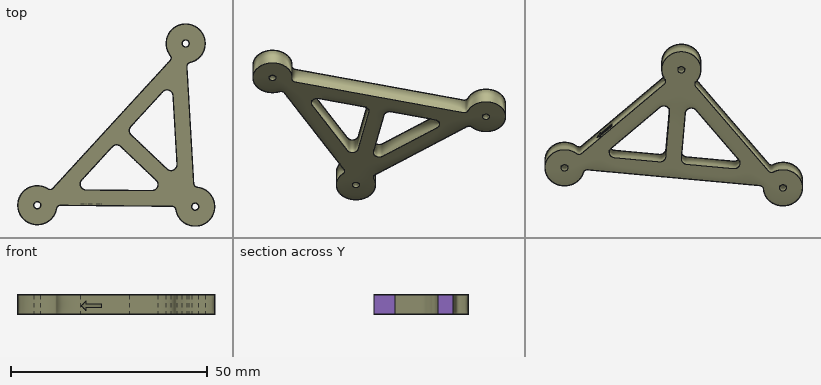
import cadquery as cq
import math

thickness = 5.0
boss_radius = 5.0
hole_diameter = 1.75

left_corner = cq.Vector(0, 0)
right_corner = cq.Vector(40.1, -0.35)
top_corner = cq.Vector(37.7, 41.1)
corners = [left_corner, right_corner, top_corner]

bar_width = 4.0
strut_width = 4.0
window_fillet = 1.5
neck_fillet = 1.0

arrow_tip_from_corner = 11.15
arrow_length = 5.1
arrow_head_length = 1.25
arrow_head_width = 2.45
arrow_shaft_width = 0.9
arrow_height = 2.15
arrow_depth = 0.4


def plate(points):
    """Full-thickness plate with a polygonal outline."""
    outline = [(p.x, p.y) for p in points]
    return cq.Workplane("XY").polyline(outline).close().extrude(thickness)


def inset_corner(corner, after, before):
    """Point inside a corner at one bar width from both of its sides."""
    to_after = (after - corner).normalized()
    to_before = (before - corner).normalized()
    half_angle = to_after.getAngle(to_before) / 2
    bisector = (to_after + to_before).normalized()
    return corner + bisector * (bar_width / math.sin(half_angle))


def strut(start, end):
    """Bar centred on the line from start to end."""
    along = end - start
    side = cq.Vector(-along.y, along.x).normalized() * (strut_width / 2)
    return plate([start - side, end - side, end + side, start + side])


opening_corners = [
    inset_corner(corners[i], corners[(i + 1) % 3], corners[i - 1]) for i in range(3)
]
to_left = left_corner - right_corner
to_top = top_corner - right_corner
bisector_share = to_left.Length / (to_left.Length + to_top.Length)
strut_end = left_corner + (top_corner - left_corner) * bisector_share
windows = plate(opening_corners).cut(strut(right_corner, strut_end))
windows = windows.edges("|Z").fillet(window_fillet)

boss_centres = [(corner.x, corner.y) for corner in corners]
bosses = cq.Workplane("XY").pushPoints(boss_centres).circle(boss_radius).extrude(thickness)
body = plate(corners).union(bosses)
for corner in corners:
    for other in corners:
        if other is corner:
            continue
        neck = corner + (other - corner).normalized() * boss_radius
        neck_middle = (neck.x, neck.y, thickness / 2)
        body = body.edges(cq.selectors.NearestToPointSelector(neck_middle)).fillet(neck_fillet)

holes = cq.Workplane("XY").pushPoints(boss_centres).circle(hole_diameter / 2).extrude(thickness)


def arrow():
    """Arrow pointing to the left boss, reaching into the part from the -Y side of the frame."""
    side_direction = (right_corner - left_corner).normalized()
    outward = side_direction.cross(cq.Vector(0, 0, 1))
    tip = left_corner + side_direction * arrow_tip_from_corner + cq.Vector(0, 0, arrow_height)
    half_head = arrow_head_width / 2
    half_shaft = arrow_shaft_width / 2
    return (
        cq.Workplane(cq.Plane(tip, side_direction, outward))
        .moveTo(0, 0)
        .lineTo(arrow_head_length, -half_head)
        .lineTo(arrow_head_length, -half_shaft)
        .lineTo(arrow_length, -half_shaft)
        .lineTo(arrow_length, half_shaft)
        .lineTo(arrow_head_length, half_shaft)
        .lineTo(arrow_head_length, half_head)
        .close()
        .extrude(-arrow_depth)
    )


result = body.cut(windows).cut(holes).cut(arrow())